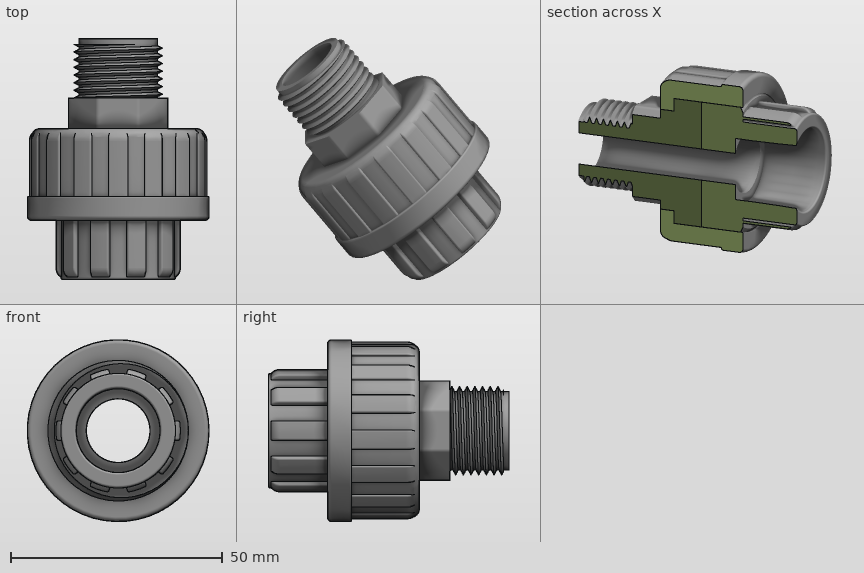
import cadquery as cq
import math


socket_face_y = 0.0
nut_front_y = 14.0
seal_y = 25.0
cavity_end_y = 32.0
nut_back_y = 35.7
grip_end_y = 42.9
thread_end_y = 55.6
tail_end_y = 56.95

bore_radius = 7.5
cavity_radius = 33.25 / 2
rib_width = 4.6
rib_edge_radius = 0.45

nut_band_radius = 43.0 / 2
nut_band_length = 5.7
nut_band_end_y = nut_front_y + nut_band_length
nut_band_front_fillet = 1.0
nut_band_back_fillet = 0.4
nut_body_radius = 20.5
nut_body_fillet = 2.0
nut_rib_radius = 21.0
nut_rib_end_fillet = 3.0
nut_rib_root_radius = 19.0
nut_rib_count = 15
nut_rib_start_angle = 90.0
neck_radius = 27.7 / 2

socket_body_radius = 27.1 / 2
socket_face_fillet = 0.5
socket_rib_radius = 14.7
socket_rib_end_fillet = 2.5
socket_rib_front_y = socket_face_y + 0.2
socket_rib_root_radius = 12.7
socket_rib_count = 10
socket_rib_start_angle = 0.0
pocket_mouth_radius = 10.05
pocket_floor_radius = 9.9
pocket_mouth_fillet = 0.45
pocket_depth = 16.0
collar_radius = 31.7 / 2
collar_height = 0.6
collar_least_slope = 0.05
collar_offset = cavity_radius - collar_radius - collar_least_slope

grip_across_flats = 23.5
grip_sides = 8
grip_edge_radius = 1.2
thread_root_radius = 18.63 / 2
thread_crest_radius = 20.955 / 2
thread_pitch = 1.814
thread_half_angle = 55.0 / 2
thread_crest_y = 54.72
thread_overlap = 0.1


def cylinder(radius, start_y, end_y):
    """Solid cylinder on the Y axis between two Y positions."""
    profile = cq.Workplane("XZ", origin=(0, start_y, 0)).circle(radius)
    return profile.extrude(start_y - end_y)


def ribs(envelope, root_radius, start_y, end_y, count, start_angle):
    """Straight ribs around Y, shaped by the envelope and rounded along their outer edges."""
    depth = nut_band_radius - root_radius
    blank = cq.Workplane("XY").box(depth, end_y - start_y, rib_width, centered=(False, False, True))
    rib = blank.translate((root_radius, start_y, 0)).intersect(envelope)
    rib = rib.faces("<Z or >Z").edges("not (|X or <X)").fillet(rib_edge_radius)
    copies = []
    for index in range(count):
        angle = -(start_angle + index * 360.0 / count)
        copies.append(rib.rotate((0, 0, 0), (0, 1, 0), angle))
    return copies


def make_nut():
    band = cylinder(nut_band_radius, nut_front_y, nut_band_end_y)
    band = band.faces("<Y").edges().fillet(nut_band_front_fillet)
    band = band.faces(">Y").edges().fillet(nut_band_back_fillet)
    body = cylinder(nut_body_radius, nut_front_y + nut_band_front_fillet, nut_back_y)
    body = body.faces(">Y").edges().fillet(nut_body_fillet)
    nut = band.union(body)

    rib_start_y = nut_band_end_y - nut_band_front_fillet
    envelope = cylinder(nut_rib_radius, nut_front_y, nut_back_y)
    envelope = envelope.faces(">Y").edges().fillet(nut_rib_end_fillet)
    nut_ribs = ribs(
        envelope, nut_rib_root_radius, rib_start_y, nut_back_y, nut_rib_count, nut_rib_start_angle
    )
    for rib in nut_ribs:
        nut = nut.union(rib)

    nut = nut.cut(cylinder(cavity_radius, nut_front_y, cavity_end_y))
    return nut.cut(cylinder(neck_radius, cavity_end_y, nut_back_y))


def make_collar():
    """Front shoulder whose face circle is offset toward +X, sloping out to the flange."""
    return (
        cq.Workplane("XZ", origin=(0, nut_front_y + collar_height, 0))
        .circle(cavity_radius)
        .workplane(offset=collar_height)
        .center(collar_offset, 0)
        .circle(collar_radius)
        .loft(ruled=True)
    )


def make_socket():
    socket = cylinder(socket_body_radius, socket_face_y, seal_y)
    socket = socket.faces("<Y").edges().fillet(socket_face_fillet)

    flange_y = nut_front_y + collar_height
    envelope = cylinder(socket_rib_radius, socket_rib_front_y, flange_y)
    envelope = envelope.faces("<Y").edges().fillet(socket_rib_end_fillet)
    socket_ribs = ribs(
        envelope, socket_rib_root_radius, socket_rib_front_y, flange_y,
        socket_rib_count, socket_rib_start_angle,
    )
    for rib in socket_ribs:
        socket = socket.union(rib)

    socket = socket.union(make_collar())
    socket = socket.union(cylinder(cavity_radius, flange_y, seal_y))

    pocket_end_y = socket_face_y + pocket_depth
    mouth_outer_radius = pocket_mouth_radius + pocket_mouth_fillet
    mouth_end_y = socket_face_y + pocket_mouth_fillet
    arc_inset = pocket_mouth_fillet * (1 - math.sqrt(0.5))
    pocket = (
        cq.Workplane("XY")
        .moveTo(0, socket_face_y)
        .lineTo(mouth_outer_radius, socket_face_y)
        .threePointArc(
            (pocket_mouth_radius + arc_inset, socket_face_y + arc_inset),
            (pocket_mouth_radius, mouth_end_y),
        )
        .lineTo(pocket_floor_radius, pocket_end_y)
        .lineTo(0, pocket_end_y)
        .close()
        .revolve(360, (0, 0, 0), (0, 1, 0))
    )
    return socket.cut(pocket).cut(cylinder(bore_radius, pocket_end_y, seal_y))


def make_thread():
    """Right-hand helical ridge, trimmed flat at the grip and near the free end."""
    turns_below = math.ceil((thread_crest_y - grip_end_y) / thread_pitch)
    start = thread_crest_y - turns_below * thread_pitch
    height = (turns_below + 1) * thread_pitch
    foot_radius = thread_root_radius - thread_overlap
    half_foot = (thread_crest_radius - foot_radius) * math.tan(math.radians(thread_half_angle))
    helix = cq.Wire.makeHelix(thread_pitch, height, thread_root_radius)
    ridge = (
        cq.Workplane("XZ")
        .moveTo(foot_radius, -half_foot)
        .lineTo(thread_crest_radius, 0)
        .lineTo(foot_radius, half_foot)
        .close()
        .sweep(cq.Workplane(helix), isFrenet=True)
    )
    ridge = ridge.rotate((0, 0, 0), (1, 0, 0), -90).translate((0, start, 0))
    return ridge.intersect(cylinder(nut_band_radius, grip_end_y, thread_end_y))


def make_tail():
    tail = cylinder(cavity_radius, seal_y, cavity_end_y)
    tail = tail.union(cylinder(neck_radius, cavity_end_y, nut_back_y))

    grip_diameter = grip_across_flats / math.cos(math.pi / grip_sides)
    grip = (
        cq.Workplane("XZ", origin=(0, nut_back_y, 0))
        .polygon(grip_sides, grip_diameter)
        .extrude(nut_back_y - grip_end_y)
        .rotate((0, 0, 0), (0, 1, 0), 180.0 / grip_sides)
        .edges("|Y")
        .fillet(grip_edge_radius)
    )
    tail = tail.union(grip)
    tail = tail.union(cylinder(thread_root_radius, grip_end_y, tail_end_y))
    tail = tail.union(make_thread())
    return tail.cut(cylinder(bore_radius, seal_y, tail_end_y))


nut = make_nut()
socket = make_socket()
tail = make_tail()
result = cq.Compound.makeCompound([nut.solids().val(), socket.solids().val(), tail.solids().val()])